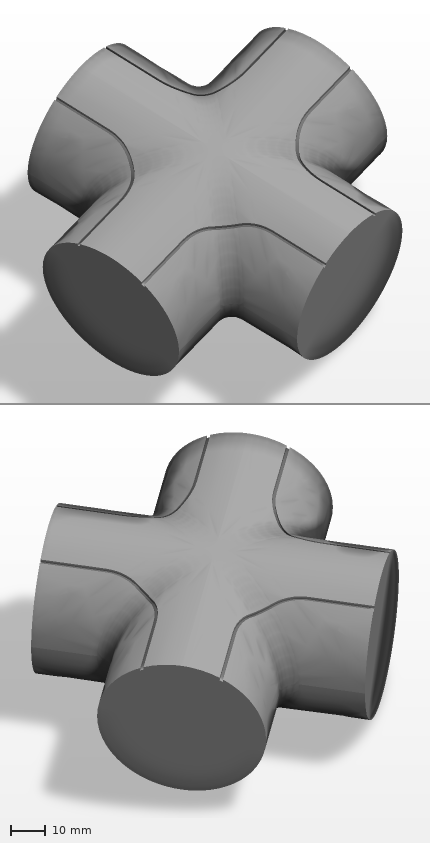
import cadquery as cq
import math

overall_length = 98.9
bar_diameter = 50.0
corner_radius = 4.9
groove_offset = 11.8
groove_width = 1.0
groove_depth = 1.0

half_length = overall_length / 2
bar_radius = bar_diameter / 2
blend_start = bar_radius + corner_radius
groove_radius = blend_start - groove_offset
arc_inset = 1 - math.sqrt(0.5)


def corner_void():
    """Space outside one upper quadrant of the cross.

    Every horizontal section is the same rounded corner; it slides inward along the
    ellipse where the two bars meet, so the blend stays tangent to both bars.
    """
    far = bar_radius + overall_length
    arc_mid = bar_radius + corner_radius * arc_inset
    section = (
        cq.Workplane("XY")
        .moveTo(far, bar_radius)
        .lineTo(blend_start, bar_radius)
        .threePointArc((arc_mid, arc_mid), (bar_radius, blend_start))
        .lineTo(bar_radius, far)
        .lineTo(far, far)
        .close()
    )
    diagonal = cq.Plane(origin=(0, 0, 0), xDir=(1, 1, 0), normal=(1, -1, 0))
    meeting_curve = cq.Workplane(diagonal).ellipseArc(
        bar_radius * math.sqrt(2), bar_radius, 0, 90, startAtCurrent=False
    )
    return section.sweep(meeting_curve, normal=(0, 0, 1))


def quadrant():
    """One eighth of the cross: +X, +Y, +Z."""
    block = cq.Workplane("XY").box(half_length, half_length, bar_radius, centered=False)
    return block.cut(corner_void())


def groove_track():
    """Plan shape of one groove, raised to full height: straight, 90 degree bend, straight."""
    inner_radius = groove_radius - groove_width / 2
    outer_radius = groove_radius + groove_width / 2

    def bend_points(radius):
        near = blend_start - radius
        middle = near + radius * arc_inset
        return near, middle

    outer_near, outer_middle = bend_points(outer_radius)
    inner_near, inner_middle = bend_points(inner_radius)
    return (
        cq.Workplane("XY")
        .moveTo(half_length, outer_near)
        .lineTo(blend_start, outer_near)
        .threePointArc((outer_middle, outer_middle), (outer_near, blend_start))
        .lineTo(outer_near, half_length)
        .lineTo(inner_near, half_length)
        .lineTo(inner_near, blend_start)
        .threePointArc((inner_middle, inner_middle), (blend_start, inner_near))
        .lineTo(half_length, inner_near)
        .close()
        .extrude(bar_radius)
    )


def mirrored_cross(upper_quadrant):
    upper_half = upper_quadrant.union(upper_quadrant.mirror("YZ"))
    return upper_half.union(upper_half.mirror("XZ"))


plain_quadrant = quadrant()

groove = groove_track().cut(plain_quadrant.translate((0, 0, -groove_depth)))
grooved_quadrant = plain_quadrant.cut(groove)

upper_half = mirrored_cross(grooved_quadrant)
lower_half = mirrored_cross(plain_quadrant.mirror("XY"))
result = upper_half.union(lower_half).solids()